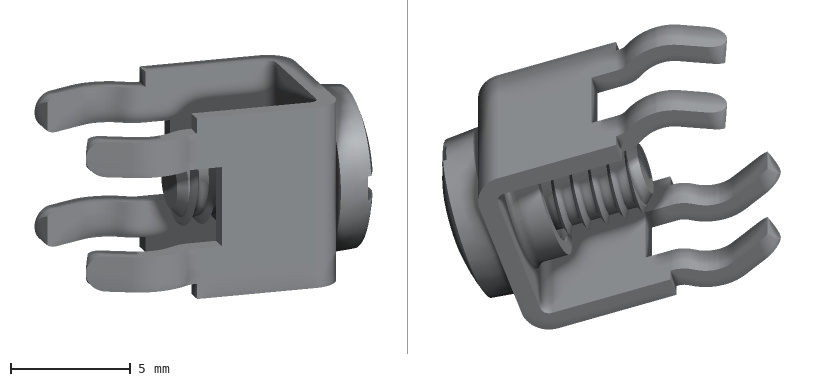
import cadquery as cq
import math


overall_depth = 13.07
overall_width = 9.05
bracket_height = 7.87
sheet = 0.81
bend_inner_radius = 0.39
bulge = 0.58
shoulder_depth = 6.42
leg_end_depth = 6.51
apex_depth = 8.39
prong_width = 1.54
prong_gap = 3.45
gap_depth = 5.33
flare_out_radius = 0.75
return_radius = 2.35
tip_angle = math.radians(24)

collar_radius = 2.59
collar_depth = 2.27
collar_flare_width = 0.21
collar_flare_depth = 0.38
countersink_radius = 2.01

head_height = 1.91
dome_height = 0.52
seat_radius = 3.58
rim_radius = 3.45
crown_radius = 1.92
crown_bow = 0.04
slot_width = 1.11
slot_depth = 0.68
core_radius = 1.46
crest_radius = 1.84
screw_depth = 6.38
tip_chamfer = 0.38
thread_root_width = 0.39
thread_first_crest = -0.78
thread_last_crest = 5.75
turns_between_crests = 8
thread_runout = 1
root_overlap = 0.04

leg_outer_x = overall_width / 2 - bulge
prong_tip_depth = overall_depth - head_height


def on_arc(center, radius, angle):
    """Point at the given radius from a center, with the angle turning from +X towards -Y."""
    return (center[0] + radius * math.cos(angle), center[1] - radius * math.sin(angle))


def half_strip():
    """Half of the bent strip in the XY plane, from the middle of the plate to the +X prong tip."""
    bend_outer_radius = bend_inner_radius + sheet
    bend_center = (leg_outer_x - bend_outer_radius, -bend_outer_radius)

    swell_angle = 2 * math.atan(bulge / (apex_depth - leg_end_depth))
    radius_sum = (apex_depth - leg_end_depth) / math.sin(swell_angle)
    swell_radius = radius_sum - flare_out_radius
    flare_center = (leg_outer_x + flare_out_radius, -leg_end_depth)
    swell_center = (overall_width / 2 - swell_radius, -apex_depth)
    return_center = (overall_width / 2 - return_radius, -apex_depth)
    flare_inner_radius = flare_out_radius + sheet
    swell_inner_radius = swell_radius - sheet
    return_inner_radius = return_radius - sheet

    return_end = on_arc(return_center, return_radius, tip_angle)
    tip_drop = prong_tip_depth + return_end[1]
    tip_outer = (return_end[0] - tip_drop * math.tan(tip_angle), -prong_tip_depth)
    tip_inner = (
        tip_outer[0] - sheet * math.cos(tip_angle),
        tip_outer[1] + sheet * math.sin(tip_angle),
    )
    return (
        cq.Workplane("XY")
        .moveTo(0, 0)
        .lineTo(bend_center[0], 0)
        .threePointArc(on_arc(bend_center, bend_outer_radius, -math.pi / 4), (leg_outer_x, bend_center[1]))
        .lineTo(leg_outer_x, -leg_end_depth)
        .threePointArc(
            on_arc(flare_center, flare_out_radius, math.pi - swell_angle / 2),
            on_arc(flare_center, flare_out_radius, math.pi - swell_angle),
        )
        .threePointArc(
            on_arc(swell_center, swell_radius, -swell_angle / 2),
            on_arc(swell_center, swell_radius, 0),
        )
        .threePointArc(on_arc(return_center, return_radius, tip_angle / 2), return_end)
        .lineTo(*tip_outer)
        .lineTo(*tip_inner)
        .lineTo(*on_arc(return_center, return_inner_radius, tip_angle))
        .threePointArc(
            on_arc(return_center, return_inner_radius, tip_angle / 2),
            on_arc(return_center, return_inner_radius, 0),
        )
        .threePointArc(
            on_arc(swell_center, swell_inner_radius, -swell_angle / 2),
            on_arc(swell_center, swell_inner_radius, -swell_angle),
        )
        .threePointArc(
            on_arc(flare_center, flare_inner_radius, math.pi - swell_angle / 2),
            on_arc(flare_center, flare_inner_radius, math.pi),
        )
        .lineTo(leg_outer_x - sheet, bend_center[1])
        .threePointArc(on_arc(bend_center, bend_inner_radius, -math.pi / 4), (bend_center[0], -sheet))
        .lineTo(0, -sheet)
        .close()
        .extrude(bracket_height / 2, both=True)
    )


def side_silhouette():
    """Outline of the legs in the YZ plane, with two round-ended prongs and the gap between them."""
    body = (
        cq.Workplane("YZ")
        .center(-shoulder_depth / 2, 0)
        .rect(shoulder_depth, bracket_height)
        .extrude(overall_width, both=True)
    )
    gap = (
        cq.Workplane("YZ")
        .center(-(gap_depth + shoulder_depth) / 2, 0)
        .rect(shoulder_depth - gap_depth, prong_gap)
        .extrude(overall_width, both=True)
    )
    prong_length = prong_tip_depth - gap_depth + prong_width
    prong_offset = (prong_gap + prong_width) / 2
    prongs = (
        cq.Workplane("YZ")
        .pushPoints([(prong_length / 2 - prong_tip_depth, side * prong_offset) for side in (-1, 1)])
        .slot2D(prong_length, prong_width)
        .extrude(overall_width, both=True)
    )
    return body.cut(gap).union(prongs)


def revolve_about_screw_axis(outline):
    """Solid of revolution about the Y axis from a closed outline of (Y, radius)."""
    return outline.close().revolve(360, (0, 0, 0), (1, 0, 0))


def make_collar():
    """Drawn collar, with a flare of circular section where it leaves the plate."""
    flare_end = sheet + collar_flare_depth
    flare_radius = (collar_flare_width**2 + collar_flare_depth**2) / (2 * collar_flare_width)
    outline = (
        cq.Workplane("YZ")
        .moveTo(0, 0)
        .lineTo(0, collar_radius)
        .lineTo(-sheet, collar_radius + collar_flare_width)
        .radiusArc((-flare_end, collar_radius), flare_radius)
        .lineTo(-collar_depth, collar_radius)
        .lineTo(-collar_depth, 0)
    )
    return revolve_about_screw_axis(outline)


def make_bore():
    """Screw hole through the plate and collar, countersunk at the collar's end."""
    countersink = countersink_radius - crest_radius
    outline = (
        cq.Workplane("YZ")
        .moveTo(0, 0)
        .lineTo(0, crest_radius)
        .lineTo(countersink - collar_depth, crest_radius)
        .lineTo(-collar_depth, countersink_radius)
        .lineTo(-collar_depth, 0)
    )
    return revolve_about_screw_axis(outline)


def make_bracket():
    half = half_strip()
    strip = half.union(half.mirror("YZ"))
    return strip.intersect(side_silhouette()).union(make_collar()).cut(make_bore())


def make_screw_blank():
    """Slotted head with a domed top, and the plain core with its chamfered tip."""
    rim_y = head_height - dome_height
    chamfer_depth = screw_depth - tip_chamfer
    outline = (
        cq.Workplane("YZ")
        .moveTo(head_height, 0)
        .lineTo(head_height, crown_radius)
        .sagittaArc((rim_y, rim_radius), -crown_bow)
        .lineTo(0, seat_radius)
        .lineTo(0, core_radius)
        .lineTo(-chamfer_depth, core_radius)
        .lineTo(-screw_depth, core_radius - tip_chamfer)
        .lineTo(-screw_depth, 0)
    )
    slot = cq.Workplane("XY").box(2 * seat_radius, 2 * slot_depth, slot_width).translate((0, head_height, 0))
    return revolve_about_screw_axis(outline).cut(slot)


def make_thread():
    """Left-handed V ridge, trimmed at the head and where the tip chamfer begins."""
    pitch = (thread_last_crest - thread_first_crest) / turns_between_crests
    ridge_length = (turns_between_crests + thread_runout) * pitch
    thread_height = crest_radius - core_radius
    half_width = thread_root_width / 2 * (1 + root_overlap / thread_height)
    root_radius = core_radius - root_overlap
    path = cq.Wire.makeHelix(pitch, ridge_length, core_radius, lefthand=True)
    ridge = (
        cq.Workplane("XZ")
        .polyline([(root_radius, -half_width), (crest_radius, 0), (root_radius, half_width)])
        .close()
        .sweep(cq.Workplane(path), isFrenet=True)
        .rotate((0, 0, 0), (1, 0, 0), 90)
        .translate((0, -thread_first_crest, 0))
    )
    thread_zone = cq.Workplane("XZ").circle(seat_radius).extrude(screw_depth - tip_chamfer)
    return ridge.intersect(thread_zone)


bracket = make_bracket()
screw = make_screw_blank().union(make_thread())

result = cq.Compound.makeCompound([bracket.solids().val(), screw.solids().val()])